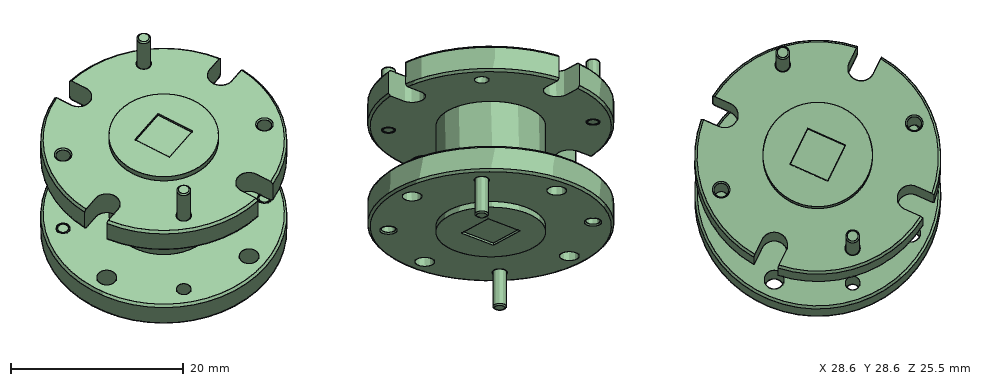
import cadquery as cq
import math

FLANGE_DIAMETER = 28.57
FLANGE_THICKNESS = 3.3
FLANGE_CHAMFER = 0.29
CORE_DIAMETER = 12.75
CORE_LENGTH = 17.83
BOSS_HEIGHT = 0.75

RECESS_SIDE = 4.83
RECESS_DEPTH = 0.29

PITCH_RADIUS = 11.9
SCREW_HOLE_DIAMETER = 2.29
SLOT_WIDTH = 3.09

PIN_DIAMETER = 1.6
PIN_CHAMFER = 0.17
PIN_PROJECTION = 4.6
PIN_MOUTH_CHAMFER = 0.09
MATING_HOLE_DIAMETER = 1.69
MATING_HOLE_CHAMFER = 0.17

FLANGE_OUTER_Z = CORE_LENGTH / 2 - BOSS_HEIGHT
FLANGE_INNER_Z = FLANGE_OUTER_Z - FLANGE_THICKNESS
PIN_LENGTH = FLANGE_THICKNESS + PIN_PROJECTION

SCREW_ANGLES = [0, 90, 180, 270]
TOP_PIN_ANGLES = [135, 315]
BOTTOM_PIN_ANGLES = [45, 225]


def on_pitch_circle(angle):
    """Point of the pitch circle at the given angle in degrees."""
    turn = math.radians(angle)
    return (PITCH_RADIUS * math.cos(turn), PITCH_RADIUS * math.sin(turn))


def on_bottom(upper):
    """Mirror a shape made for the top half down to the bottom half."""
    return upper.mirror("XY")


def make_flange():
    """Top flange disc with both rims chamfered."""
    disc = cq.Workplane("XY").workplane(offset=FLANGE_INNER_Z).circle(FLANGE_DIAMETER / 2)
    return disc.extrude(FLANGE_THICKNESS).edges().chamfer(FLANGE_CHAMFER)


def make_flange_hole(angle, diameter, mouth_chamfer=0):
    """Cutter through the top flange, widened by a chamfer at the outer face."""
    x, y = on_pitch_circle(angle)
    inner = cq.Workplane("XY", origin=(x, y, FLANGE_INNER_Z))
    hole = inner.circle(diameter / 2).extrude(FLANGE_THICKNESS)
    if mouth_chamfer:
        mouth = cq.Solid.makeCone(
            diameter / 2,
            diameter / 2 + mouth_chamfer,
            mouth_chamfer,
            pnt=cq.Vector(x, y, FLANGE_OUTER_Z - mouth_chamfer),
        )
        hole = hole.union(cq.Workplane(mouth))
    return hole


def make_slot(angle):
    """Round-ended slot cutter running from the pitch circle out through the rim."""
    inner = cq.Workplane("XY").workplane(offset=FLANGE_INNER_Z)
    outline = (
        inner.moveTo(FLANGE_DIAMETER, SLOT_WIDTH / 2)
        .lineTo(PITCH_RADIUS, SLOT_WIDTH / 2)
        .threePointArc((PITCH_RADIUS - SLOT_WIDTH / 2, 0), (PITCH_RADIUS, -SLOT_WIDTH / 2))
        .lineTo(FLANGE_DIAMETER, -SLOT_WIDTH / 2)
        .close()
    )
    return outline.extrude(FLANGE_THICKNESS).rotate((0, 0, 0), (0, 0, 1), angle)


def make_recess():
    """Square recess cutter in the top end of the core."""
    floor = cq.Workplane("XY").workplane(offset=CORE_LENGTH / 2 - RECESS_DEPTH)
    return floor.rect(RECESS_SIDE, RECESS_SIDE).extrude(RECESS_DEPTH)


def make_housing():
    core = cq.Workplane("XY").circle(CORE_DIAMETER / 2).extrude(CORE_LENGTH / 2, both=True)
    flange = make_flange()
    body = core.union(flange).union(on_bottom(flange))

    recess = make_recess()
    body = body.cut(recess).cut(on_bottom(recess))

    for angle in SCREW_ANGLES:
        body = body.cut(make_slot(angle))
        body = body.cut(on_bottom(make_flange_hole(angle, SCREW_HOLE_DIAMETER)))

    for angle in TOP_PIN_ANGLES:
        body = body.cut(make_flange_hole(angle, PIN_DIAMETER, PIN_MOUTH_CHAMFER))
        body = body.cut(on_bottom(make_flange_hole(angle, MATING_HOLE_DIAMETER, MATING_HOLE_CHAMFER)))
    for angle in BOTTOM_PIN_ANGLES:
        body = body.cut(on_bottom(make_flange_hole(angle, PIN_DIAMETER, PIN_MOUTH_CHAMFER)))
        body = body.cut(make_flange_hole(angle, MATING_HOLE_DIAMETER, MATING_HOLE_CHAMFER))
    return body


def make_pin(angle):
    """Dowel in the top flange, flush with its inner face and chamfered at both ends."""
    x, y = on_pitch_circle(angle)
    base = cq.Workplane("XY", origin=(x, y, FLANGE_INNER_Z))
    return base.circle(PIN_DIAMETER / 2).extrude(PIN_LENGTH).edges().chamfer(PIN_CHAMFER)


housing = make_housing()
pins = [make_pin(angle) for angle in TOP_PIN_ANGLES]
pins += [on_bottom(make_pin(angle)) for angle in BOTTOM_PIN_ANGLES]

result = cq.Compound.makeCompound([housing.val(), *[pin.val() for pin in pins]])